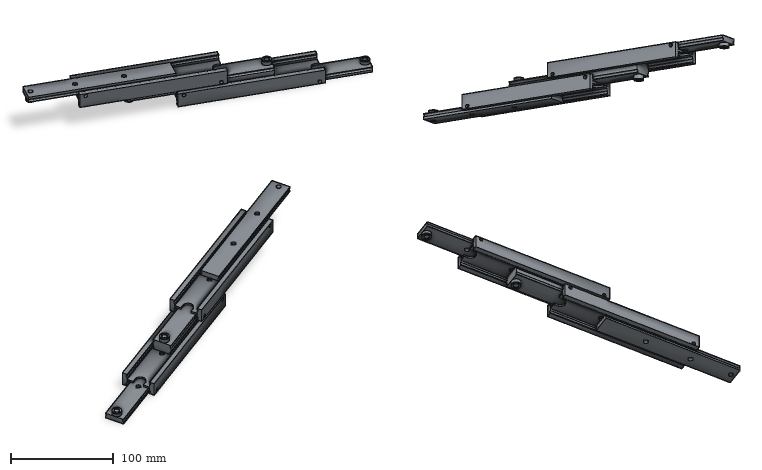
import cadquery as cq
import math

overall_length = 350.0
overall_height = 36.0
step = overall_length / 7
part_length = 3 * step

channel_width = 35.0
channel_height = 15.0
flange_width = 5.2
web_thickness = 2.0
channel_z = overall_height / 4

rail_width = 20.0
rail_thickness = 6.0
rail_clearance = channel_z - web_thickness / 2 - rail_thickness
groove_face_distance = 1.92
bearing_offset = web_thickness / 2 + rail_clearance + groove_face_distance

groove_height = 2.8
groove_depth = 1.0

stud_radius = 5.0
stud_end_distance = 5.0
outer_stud_height = rail_clearance + web_thickness
middle_stud_height = 5.0
stud_chamfer_width = 0.5
stud_chamfer_height = 0.7
bore_radius = 2.8
bore_depth = 1.0
bore_tip_angle = 118.0
notch_radius = 5.5
notch_length = 9.8

hole_radius = 2.5
blind_hole_depth = 0.5
pin_hole_radius = 1.8
pin_hole_end_distance = 6.0


def cylinder_z(radius, height, y, z):
    """Upright cylinder on the middle plane X=0 whose base centre is at (0, y, z)."""
    return cq.Workplane("XY", origin=(0, y, z)).circle(radius).extrude(height)


def block(width, height, z_bottom):
    """Bar of the common part length, centred on X and Y."""
    bar = cq.Workplane("XY").box(width, part_length, height, centered=(True, True, False))
    return bar.translate((0, 0, z_bottom))


def ball_groove(x_face, direction, z):
    """Cutter for a ball groove running along Y, sunk from x_face towards direction (+1 or -1)."""
    half = groove_height / 2
    return (
        cq.Workplane("XZ")
        .moveTo(x_face, z - half)
        .threePointArc((x_face + direction * groove_depth, z), (x_face, z + half))
        .close()
        .extrude(part_length / 2, both=True)
    )


def stud(y, z_face, direction, height):
    """Stop stud standing on a rail face at z_face, pointing up (+1) or down (-1), bored from its tip."""
    tip_depth = bore_radius / math.tan(math.radians(bore_tip_angle / 2))
    profile = [
        (0, 0),
        (stud_radius, 0),
        (stud_radius, height - stud_chamfer_height),
        (stud_radius - stud_chamfer_width, height),
        (bore_radius, height),
        (bore_radius, height - bore_depth),
        (0, height - bore_depth - tip_depth),
    ]
    profile = [(x, direction * z) for x, z in profile]
    body = cq.Workplane("XZ").polyline(profile).close().revolve(360, (0, 0, 0), (0, 1, 0))
    return body.translate((0, y, z_face))


def outer_rail():
    """Top rail, centred on Y=0: stud under its -Y end, blind hole above the stud, two through holes."""
    z_bottom = overall_height / 2 - rail_thickness
    y_stud = stud_end_distance - part_length / 2
    rail = block(rail_width, rail_thickness, z_bottom)
    for side in (-1, 1):
        rail = rail.cut(ball_groove(side * rail_width / 2, -side, channel_z + bearing_offset))
    for y in (-step / 2, step / 2):
        rail = rail.cut(cylinder_z(hole_radius, rail_thickness, y, z_bottom))
    rail = rail.cut(cylinder_z(hole_radius, blind_hole_depth, y_stud, overall_height / 2 - blind_hole_depth))
    return rail.union(stud(y_stud, z_bottom, -1, outer_stud_height))


def middle_rail():
    """Double rail, centred on the origin: a stud on top of its +Y end and one under its -Y end."""
    rail = block(rail_width, 2 * rail_thickness, -rail_thickness)
    for end in (-1, 1):
        for side in (-1, 1):
            rail = rail.cut(ball_groove(side * rail_width / 2, -side, end * (channel_z - bearing_offset)))
        y_stud = end * (part_length / 2 - stud_end_distance)
        rail = rail.union(stud(y_stud, end * rail_thickness, end, middle_stud_height))
    return rail


def web_notch(end):
    """Cutter for the round-bottomed notch in a web, open at the +Y (+1) or -Y (-1) end."""
    mouth_length = notch_length - notch_radius
    y_end = end * part_length / 2
    y_round = y_end - end * mouth_length
    mouth = cq.Workplane("XY").box(2 * notch_radius, mouth_length, web_thickness)
    mouth = mouth.translate((0, (y_end + y_round) / 2, 0))
    return mouth.union(cylinder_z(notch_radius, web_thickness, y_round, -web_thickness / 2))


def pin_hole(end):
    """Cutter across both flanges, near one end and on the bearing line of the rail leaving there."""
    y = end * (part_length / 2 - pin_hole_end_distance)
    z = -end * bearing_offset
    return cq.Workplane("YZ").center(y, z).circle(pin_hole_radius).extrude(channel_width / 2, both=True)


def channel():
    """I-section channel centred on the origin."""
    body = block(channel_width, web_thickness, -web_thickness / 2)
    flange_x = (channel_width - flange_width) / 2
    flange = block(flange_width, channel_height, -channel_height / 2)
    for side in (-1, 1):
        body = body.union(flange.translate((side * flange_x, 0, 0)))
    for side in (-1, 1):
        for face in (-1, 1):
            inner_face = side * (channel_width / 2 - flange_width)
            body = body.cut(ball_groove(inner_face, side, face * bearing_offset))
    for end in (-1, 1):
        body = body.cut(web_notch(end))
        body = body.cut(pin_hole(end))
        body = body.cut(cylinder_z(hole_radius, web_thickness, end * step / 2, -web_thickness / 2))
    return body


top_rail = outer_rail().translate((0, -2 * step, 0))
bottom_rail = top_rail.rotate((0, 0, 0), (1, 0, 0), 180)
double_rail = middle_rail()
channels = [channel().translate((0, -side * step, side * channel_z)) for side in (-1, 1)]

result = cq.Compound.makeCompound(
    [top_rail.val(), double_rail.val(), bottom_rail.val(), *[body.val() for body in channels]]
)